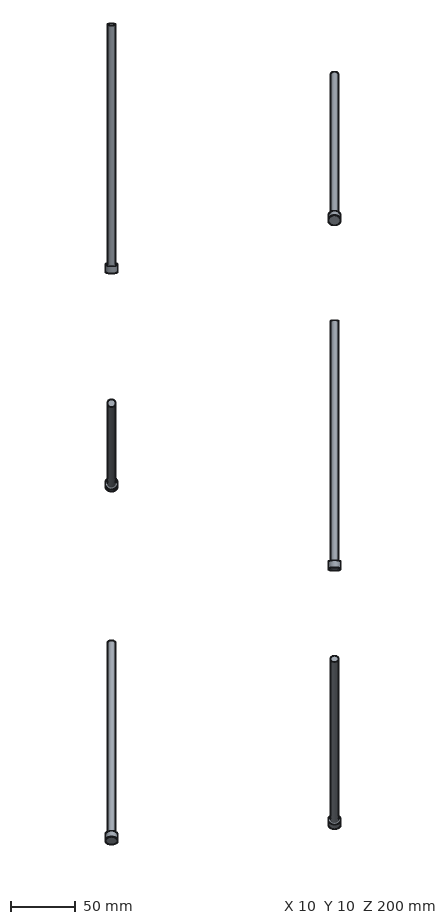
import cadquery as cq

total_length = 200.0
head_diameter = 10.0
head_height = 6.0
shank_diameter = 6.5
head_edge_chamfer = 0.3
neck_fillet = 0.3

head = cq.Workplane("XY").circle(head_diameter / 2).extrude(head_height)
head = head.faces("<Z").edges().chamfer(head_edge_chamfer)

shank_length = total_length - head_height
pin = head.faces(">Z").workplane().circle(shank_diameter / 2).extrude(shank_length)

neck_edge = cq.selectors.RadiusNthSelector(0)
head_top = pin.faces(cq.selectors.NearestToPointSelector((0, 0, head_height)))
result = head_top.edges(neck_edge).fillet(neck_fillet)